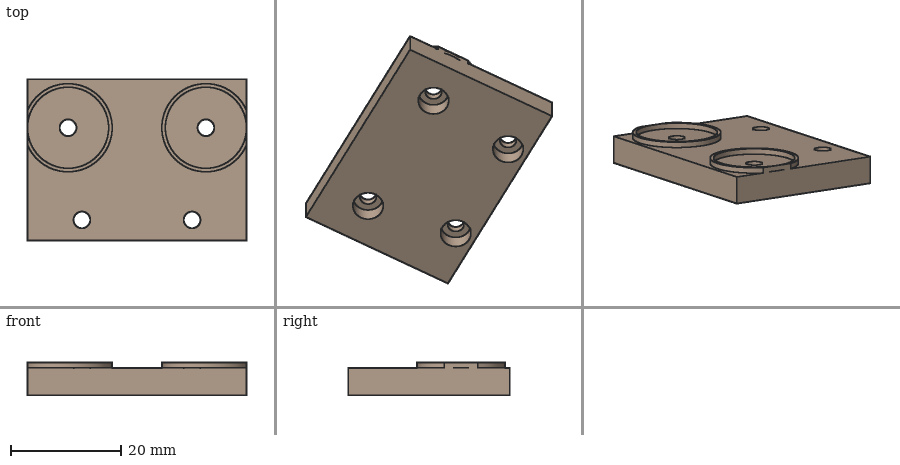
import cadquery as cq

plate_length = 39.88
plate_width = 29.35
total_height = 6.0
rim_height = 1.0
plate_thickness = total_height - rim_height

rim_outer_diameter = 16.05
rim_inner_diameter = 14.75
rim_spacing = 25.05
rim_back_offset = 8.85
rim_y = plate_width / 2 - rim_back_offset

hole_diameter = 3.0
counterbore_diameter = 5.5
counterbore_depth = 3.3
front_hole_spacing = 20.0
front_hole_offset = 3.75
front_hole_y = -plate_width / 2 + front_hole_offset


def mirrored_pair(spacing, y):
    """Return two points placed symmetrically about the YZ plane."""
    return [(-spacing / 2, y), (spacing / 2, y)]


def make_block(height):
    """Return a block with the plate outline, standing on Z = 0."""
    return cq.Workplane("XY").box(plate_length, plate_width, height, centered=(True, True, False))


def make_cylinders(centers, diameter, bottom, height):
    """Return vertical cylinders at the given centres."""
    return cq.Workplane("XY").workplane(offset=bottom).pushPoints(centers).circle(diameter / 2).extrude(height)


rim_centers = mirrored_pair(rim_spacing, rim_y)
front_hole_centers = mirrored_pair(front_hole_spacing, front_hole_y)

rims = make_cylinders(rim_centers, rim_outer_diameter, plate_thickness, rim_height)
rims = rims.cut(make_cylinders(rim_centers, rim_inner_diameter, plate_thickness, rim_height))
rims = rims.intersect(make_block(total_height))

hole_centers = rim_centers + front_hole_centers
holes = make_cylinders(hole_centers, hole_diameter, 0, plate_thickness)
counterbores = make_cylinders(hole_centers, counterbore_diameter, 0, counterbore_depth)

result = make_block(plate_thickness).union(rims).cut(holes).cut(counterbores)